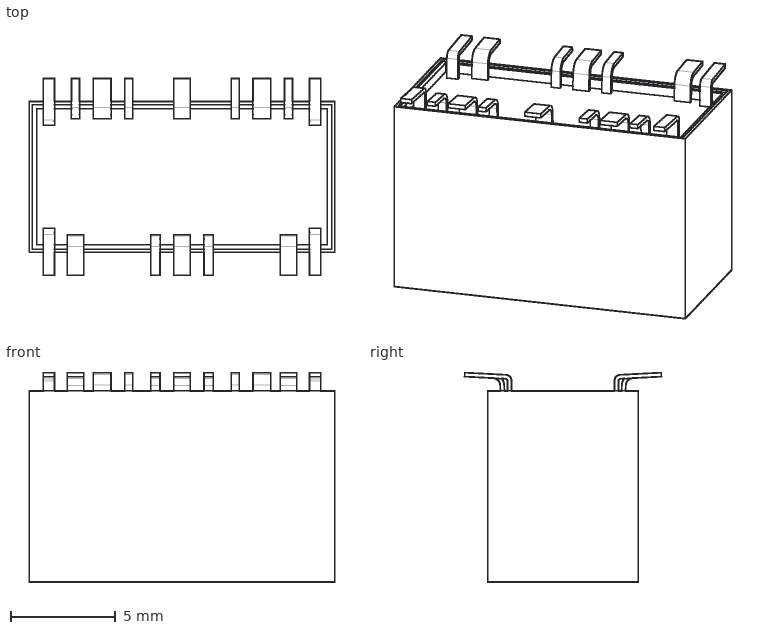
import cadquery as cq
import math

case_length = 14.6
case_width = 7.2
case_height = 9.13
rim_thickness = 0.155
ledge_width = 0.205
ledge_depth = 0.1
floor_depth = 0.55
floor_z = case_height - floor_depth

overall_width = 9.4
overall_height = 10.0
lead_thickness = 0.2
arm_rise = math.radians(3)
pitch = 1.27

corner_leg_y = 2.45
corner_leg_lean = 0.0
corner_bend_radius = 0.1

inner_leg_y = 2.76
inner_leg_lean = math.radians(3)
inner_bend_radius = 0.35

corner_lead_width = 0.55
back_narrow_width = 0.4
back_wide_width = 0.85
front_narrow_width = 0.45
standard_width = 0.8

corner_leads = [(5, corner_lead_width)]
back_leads = [
    (0, standard_width),
    (2, back_narrow_width),
    (3, back_wide_width),
    (4, back_narrow_width),
]
front_leads = [
    (0, standard_width),
    (1, front_narrow_width),
    (4, standard_width),
]


def rim_pocket(wall, depth):
    """Rectangular pocket sunk from the case top, leaving the given wall all round."""
    return (
        cq.Workplane("XY")
        .workplane(offset=case_height - depth)
        .rect(case_length - 2 * wall, case_width - 2 * wall)
        .extrude(depth)
    )


def make_case():
    case = cq.Workplane("XY").box(case_length, case_width, case_height, centered=(True, True, False))
    case = case.cut(rim_pocket(rim_thickness, ledge_depth))
    return case.cut(rim_pocket(rim_thickness + ledge_width, floor_depth))


def lead_profile(leg_y, lean, inside_radius):
    """Side outline of a lead on the +Y side.

    leg_y is where the face nearest the case centre meets the floor, and lean tilts
    the leg outwards from vertical.
    """
    outside_radius = inside_radius + lead_thickness
    leg_angle = math.pi - lean
    arm_angle = math.pi / 2 + arm_rise
    middle_angle = (leg_angle + arm_angle) / 2

    tip_top_y = overall_width / 2 - lead_thickness * math.sin(arm_rise)
    tip_bottom = (overall_width / 2, overall_height - lead_thickness * math.cos(arm_rise))

    arm_top_at_centre = overall_height - tip_top_y * math.tan(arm_rise)
    height_above_floor = arm_top_at_centre - outside_radius / math.cos(arm_rise) - floor_z
    centre_y = (
        leg_y + outside_radius / math.cos(lean) + height_above_floor * math.tan(lean)
    ) / (1 - math.tan(arm_rise) * math.tan(lean))
    centre_z = floor_z + height_above_floor + centre_y * math.tan(arm_rise)

    def on_bend(radius, angle):
        return (centre_y + radius * math.cos(angle), centre_z + radius * math.sin(angle))

    leg_foot_width = lead_thickness / math.cos(lean)
    return (
        cq.Workplane("YZ")
        .moveTo(leg_y, floor_z)
        .lineTo(*on_bend(outside_radius, leg_angle))
        .threePointArc(on_bend(outside_radius, middle_angle), on_bend(outside_radius, arm_angle))
        .lineTo(tip_top_y, overall_height)
        .lineTo(*tip_bottom)
        .lineTo(*on_bend(inside_radius, arm_angle))
        .threePointArc(on_bend(inside_radius, middle_angle), on_bend(inside_radius, leg_angle))
        .lineTo(leg_y + leg_foot_width, floor_z)
        .close()
    )


def make_lead(x, width, leg_y, lean, inside_radius):
    profile = lead_profile(leg_y, lean, inside_radius)
    return profile.extrude(width / 2, both=True).translate((x, 0, 0))


def make_row(leads, leg_y, lean, inside_radius):
    """Leads of one kind along the +Y side, placed symmetrically about X = 0."""
    row = cq.Workplane("XY")
    for steps, width in leads:
        for x in sorted({-steps * pitch, steps * pitch}):
            row = row.add(make_lead(x, width, leg_y, lean, inside_radius))
    return row.combine()


def to_front(row):
    """Mirror a row of leads to the -Y side."""
    return row.mirror("XZ")


corner_row = make_row(corner_leads, corner_leg_y, corner_leg_lean, corner_bend_radius)
back_row = make_row(back_leads, inner_leg_y, inner_leg_lean, inner_bend_radius)
front_row = to_front(make_row(front_leads, inner_leg_y, inner_leg_lean, inner_bend_radius))

result = make_case()
for row in (corner_row, to_front(corner_row), back_row, front_row):
    result = result.union(row)